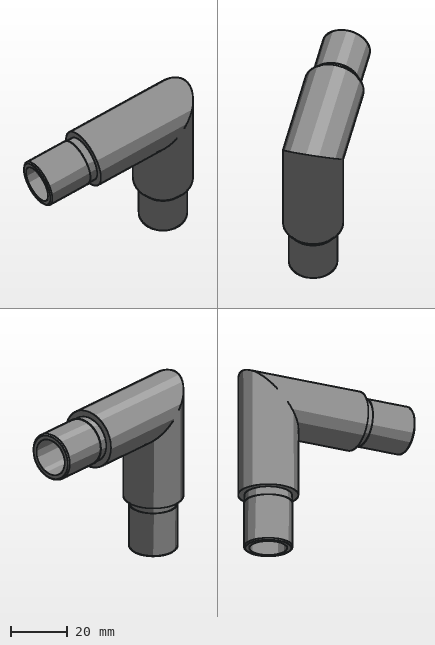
import cadquery as cq

overall_length = 65.0
body_diameter = 21.3
spigot_diameter = 17.2
neck_diameter = 16.8
bore_diameter = 13.3
spigot_reach = 20.0
neck_length = 3.0
end_chamfer = 0.5

arm_length = overall_length - body_diameter / 2
shoulder = arm_length - spigot_reach
neck_end = shoulder + neck_length

horizontal_arm = cq.Plane(origin=(0, 0, 0), xDir=(1, 0, 0), normal=(0, -1, 0))
vertical_arm = cq.Plane(origin=(0, 0, 0), xDir=(1, 0, 0), normal=(0, 0, -1))


def rod(plane, diameter, start, end):
    """Round bar along an arm, between two distances from the corner."""
    return cq.Workplane(plane).workplane(offset=start).circle(diameter / 2).extrude(end - start)


def mitred_elbow(diameter, length):
    """Two equal round bars that meet at right angles on a 45 degree plane."""
    overshoot = diameter / 2
    wedge_outline = [
        (overshoot, overshoot),
        (-length, overshoot),
        (-length, -length),
    ]
    upper_wedge = cq.Workplane("YZ").polyline(wedge_outline).close().extrude(diameter, both=True)
    horizontal = rod(horizontal_arm, diameter, -overshoot, length).intersect(upper_wedge)
    vertical = rod(vertical_arm, diameter, -overshoot, length).cut(upper_wedge)
    return horizontal.union(vertical)


def spigot(plane):
    """Recessed neck followed by a plug with a chamfered end."""
    neck = rod(plane, neck_diameter, shoulder, neck_end)
    plug = rod(plane, spigot_diameter, neck_end, arm_length)
    plug = plug.faces(cq.selectors.DirectionMinMaxSelector(plane.zDir)).chamfer(end_chamfer)
    return neck.union(plug)


body = mitred_elbow(body_diameter, shoulder)
for arm in (horizontal_arm, vertical_arm):
    body = body.union(spigot(arm))

result = body.cut(mitred_elbow(bore_diameter, arm_length))